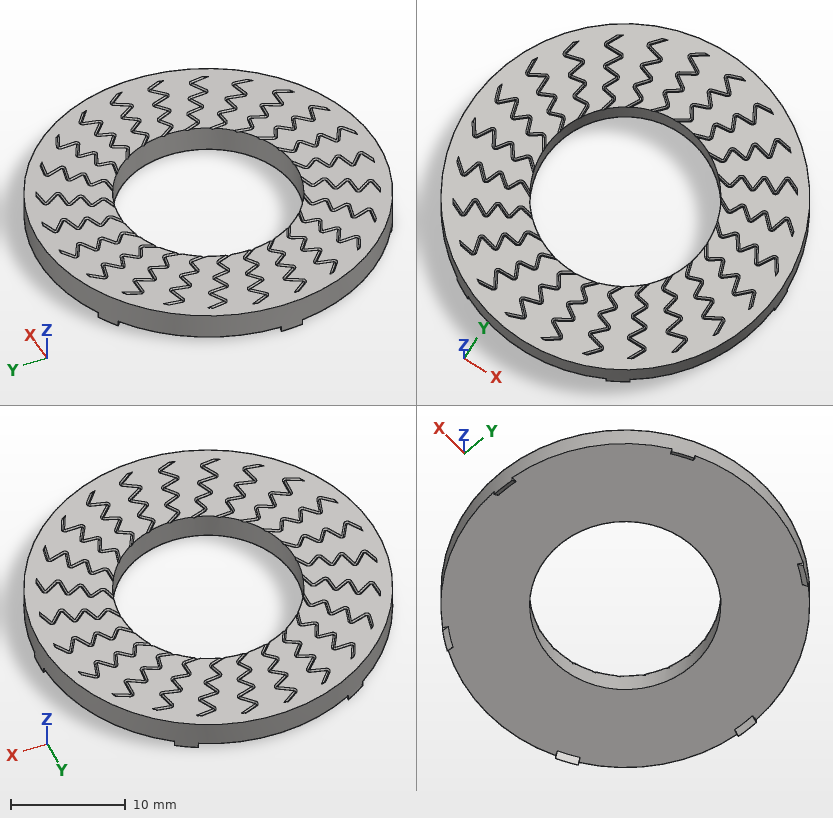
import cadquery as cq

outer_radius = 16.1
bore_radius = 8.35
total_height = 3.03
lug_height = 0.5

lug_count = 6
lug_width = 2.1
clearance_radius = 19.3

groove_count = 24
groove_width = 0.3
groove_depth = groove_width / 2
groove_reach = 15.0
zigzag_top_x = -0.65
zigzag_top_y = 15.25
zigzag_end_x = -2.67
zigzag_end_y = 7.53
first_left_y = 14.07
corner_step = 1.0
corner_count = 6
left_x = -2.38
right_x = -0.68
right_lean = 0.14
corner_trim = 0.3


def make_ring():
    """Ring with lugs: the lug wedge runs all round the rim, then is cleared away between the lugs."""
    ring = (
        cq.Workplane("XZ")
        .moveTo(bore_radius, total_height)
        .lineTo(outer_radius, total_height)
        .lineTo(outer_radius, 0)
        .lineTo(outer_radius - lug_height, lug_height)
        .lineTo(bore_radius, lug_height)
        .close()
        .revolve(360, (0, 0, 0), (0, 1, 0))
    )
    clearance = cq.Workplane("XY").circle(clearance_radius).extrude(lug_height)
    for index in range(lug_count // 2):
        bar = cq.Workplane("XY").rect(2 * clearance_radius, lug_width).extrude(lug_height)
        clearance = clearance.cut(bar.rotate((0, 0, 0), (0, 0, 1), index * 360 / lug_count))
    return ring.cut(clearance)


def zigzag_points():
    """Corners from the outside inwards, alternating left and right, with a free point at each end."""
    points = [cq.Vector(zigzag_top_x, zigzag_top_y)]
    for index in range(corner_count):
        drop = index * corner_step
        is_left = index % 2 == 0
        x = left_x if is_left else right_x - right_lean * (drop - corner_step)
        points.append(cq.Vector(x, first_left_y - drop))
    points.append(cq.Vector(zigzag_end_x, zigzag_end_y))
    return points


def zigzag_path():
    """Zigzag line with every inner corner replaced by an arc tangent to both legs."""
    points = zigzag_points()
    path = cq.Workplane("XY").workplane(offset=total_height).moveTo(points[0].x, points[0].y)
    for before, corner, after in zip(points, points[1:], points[2:]):
        arc_start = corner + (before - corner).normalized() * corner_trim
        arc_end = corner + (after - corner).normalized() * corner_trim
        path = path.lineTo(arc_start.x, arc_start.y)
        path = path.tangentArcPoint((arc_end.x, arc_end.y), relative=False)
    return path.lineTo(points[-1].x, points[-1].y)


def make_groove():
    """V-shaped cutter carried along the zigzag."""
    start, second = zigzag_points()[:2]
    heading = second - start
    profile_plane = cq.Plane(
        (start.x, start.y, total_height),
        xDir=(-heading.y, heading.x, 0),
        normal=(heading.x, heading.y, 0),
    )
    half_width = groove_width / 2
    cutter = (
        cq.Workplane(profile_plane)
        .polyline([(-half_width, 0), (0, -groove_depth), (half_width, 0)])
        .close()
        .sweep(zigzag_path())
    )
    keep = cq.Workplane("XY").box(outer_radius, groove_reach, 2 * total_height, centered=(True, False, False))
    return cutter.intersect(keep)


def make_grooves():
    groove = make_groove().val()
    pitch = 360 / groove_count
    copies = [
        groove.rotate(cq.Vector(0, 0, 0), cq.Vector(0, 0, 1), index * pitch) for index in range(groove_count)
    ]
    return cq.Workplane(cq.Compound.makeCompound(copies))


result = make_ring().cut(make_grooves())